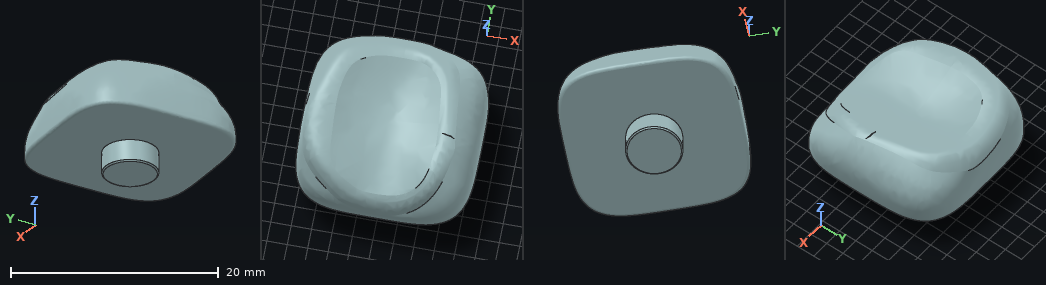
import cadquery as cq
import math

width = 17.49
depth = 17.54
skirt_height = 0.53
skirt_fillet = 0.35
outline_power = 4

stem_diameter = 5.5
stem_length = 2.3
stem_chamfer = 0.14
stem_overlap = 0.35

wall_lean_power = 2.8

wall_top = [
    (6.28, 0, 5.23), (5.95, 3.1, 5.26), (5.33, 6.03, 4.82), (3.25, 7.98, 4.21),
    (0, 8.63, 3.86), (-4.21, 7.85, 4.65), (-7.09, 5.47, 5.09), (-8.07, 2.8, 4.79),
    (-8.42, 0, 4.4), (-8.37, -2.45, 4.09), (-7.28, -5.7, 3.65), (-4.74, -7.82, 2.75),
    (0, -8.7, 1.21), (3.25, -8.2, 1.93), (5.75, -5.84, 4.03), (6.56, -2.49, 4.96),
]
crest = [
    (5.44, 0, 5.49), (5.17, 2.45, 5.61), (4.38, 5.61, 5.61), (2.63, 6.93, 5.53),
    (0, 7.55, 5.17), (-3.86, 6.84, 5.65), (-5.7, 5.44, 6.05), (-6.93, 2.63, 6.03),
    (-7.63, 0, 5.79), (-7.5, -2.63, 5.38), (-6.14, -5.79, 4.74), (-4.03, -7.49, 3.6),
    (0, -8.25, 2.28), (2.8, -7.8, 2.8), (5.09, -5.7, 4.61), (5.61, -2.63, 5.3),
]
dish_edge = [
    (4.58, 0, 5.26), (4.35, 1.98, 5.44), (3.86, 4.21, 5.61), (2.55, 5.56, 5.49),
    (0, 6.03, 5.35), (-2.9, 5.56, 5.74), (-4.61, 4.3, 6.02), (-5.33, 2.12, 5.96),
    (-5.47, 0, 5.79), (-5.33, -2.8, 5.26), (-4.65, -5.88, 4.56), (-2.72, -7.05, 3.55),
    (0, -7.37, 2.96), (2.72, -6.93, 3.47), (4.25, -5.44, 4.74), (4.68, -2.63, 5.14),
]
points_per_quarter = 4
skirt_points_per_quarter = 8
dish_floor_z = 4.05
dish_power = 1.7

band_fractions = (0.25, 0.5, 0.75)
guides_along = (0.2, 0.4, 0.6, 0.8)
band_points_per_quarter = 12


def skirt_point(angle, z):
    """Point of the superellipse outline of the cap."""
    c = math.cos(angle)
    s = math.sin(angle)
    radius = (abs(2 * c / width) ** outline_power + abs(2 * s / depth) ** outline_power) ** (-1 / outline_power)
    return (radius * c, radius * s, z)


def quarter_edges(ring, step):
    """Split a closed ring into four splines that run smoothly into each other."""
    count = len(ring)

    def direction(i):
        return (cq.Vector(*ring[(i + 1) % count]) - cq.Vector(*ring[i - 1])).normalized()

    edges = []
    for start in range(0, count, step):
        end = (start + step) % count
        points = [cq.Vector(*ring[i % count]) for i in range(start, start + step + 1)]
        edges.append(cq.Edge.makeSpline(points, [direction(start), direction(end)]))
    return edges


def wall_point(foot, top, fraction):
    """Point at a fraction of the height between the foot and the top of the wall."""
    lean = fraction ** wall_lean_power
    x = foot.x + (top.x - foot.x) * lean
    y = foot.y + (top.y - foot.y) * lean
    return cq.Vector(x, y, foot.z + (top.z - foot.z) * fraction)


def rim_point(outer, middle, inner, fraction):
    """Point on the parabola that runs over the rim through three points."""
    outer_part = outer * ((1 - fraction) * (1 - 2 * fraction))
    middle_part = middle * (4 * fraction * (1 - fraction))
    inner_part = inner * (fraction * (2 * fraction - 1))
    return outer_part + middle_part + inner_part


def dish_point(edge_point, fraction):
    """Point on the hollow between the middle of the dish and its edge."""
    rise = (edge_point.z - dish_floor_z) * fraction ** dish_power
    return cq.Vector(edge_point.x * fraction, edge_point.y * fraction, dish_floor_z + rise)


def band(lower_edges, upper_edges, point_at):
    """Loft between two rings; point_at(quarter, along, fraction) gives the shape between them."""
    sections = [cq.Wire.assembleEdges(lower_edges)]
    for fraction in band_fractions:
        ring = [
            point_at(q, i / band_points_per_quarter, fraction).toTuple()
            for q in range(4)
            for i in range(band_points_per_quarter)
        ]
        sections.append(cq.Wire.assembleEdges(quarter_edges(ring, band_points_per_quarter)))
    sections.append(cq.Wire.assembleEdges(upper_edges))
    return cq.occ_impl.shapes.loft(*sections).Faces()


def dish_patches(edges):
    """Fill the dish with a back and a front half that meet on the X axis."""
    right = edges[0].positionAt(0)
    left = edges[2].positionAt(0)
    seam_points = [dish_point(right, f) for f in (1, *reversed(band_fractions), 0)]
    seam_points += [dish_point(left, f) for f in (*band_fractions, 1)]
    seam = cq.Edge.makeSpline(seam_points)
    faces = []
    for half in (edges[:2], edges[2:]):
        guides = [dish_point(e.positionAt(t), f) for e in half for t in guides_along for f in band_fractions]
        faces.append(cq.Face.makeNSidedSurface([*half, seam], guides))
    return faces


def make_cap(skirt_edges):
    top_edges = quarter_edges(wall_top, points_per_quarter)
    crest_edges = quarter_edges(crest, points_per_quarter)
    dish_edges = quarter_edges(dish_edge, points_per_quarter)

    def on_wall(q, along, fraction):
        return wall_point(skirt_edges[q].positionAt(along), top_edges[q].positionAt(along), fraction)

    def on_rim(q, along, fraction):
        rings = (top_edges, crest_edges, dish_edges)
        return rim_point(*[ring[q].positionAt(along) for ring in rings], fraction)

    faces = [cq.Face.makeFromWires(cq.Wire.assembleEdges(skirt_edges))]
    faces += band(skirt_edges, top_edges, on_wall)
    faces += band(top_edges, dish_edges, on_rim)
    faces += dish_patches(dish_edges)
    return cq.Solid.makeSolid(cq.Shell.makeShell(faces)).fix()


def make_skirt(skirt_edges):
    outline = cq.Wire.assembleEdges(skirt_edges)
    skirt = cq.Solid.extrudeLinear(outline, [], cq.Vector(0, 0, -skirt_height))
    return cq.Workplane(skirt).faces("<Z").edges().fillet(skirt_fillet)


def make_stem():
    stem = cq.Workplane().workplane(offset=-stem_length).circle(stem_diameter / 2)
    return stem.extrude(stem_length + stem_overlap).faces("<Z").edges().chamfer(stem_chamfer)


skirt_count = 4 * skirt_points_per_quarter
skirt_ring = [skirt_point(2 * math.pi * i / skirt_count, skirt_height) for i in range(skirt_count)]
skirt_edges = quarter_edges(skirt_ring, skirt_points_per_quarter)

result = make_skirt(skirt_edges).union(cq.Workplane(make_cap(skirt_edges))).union(make_stem())